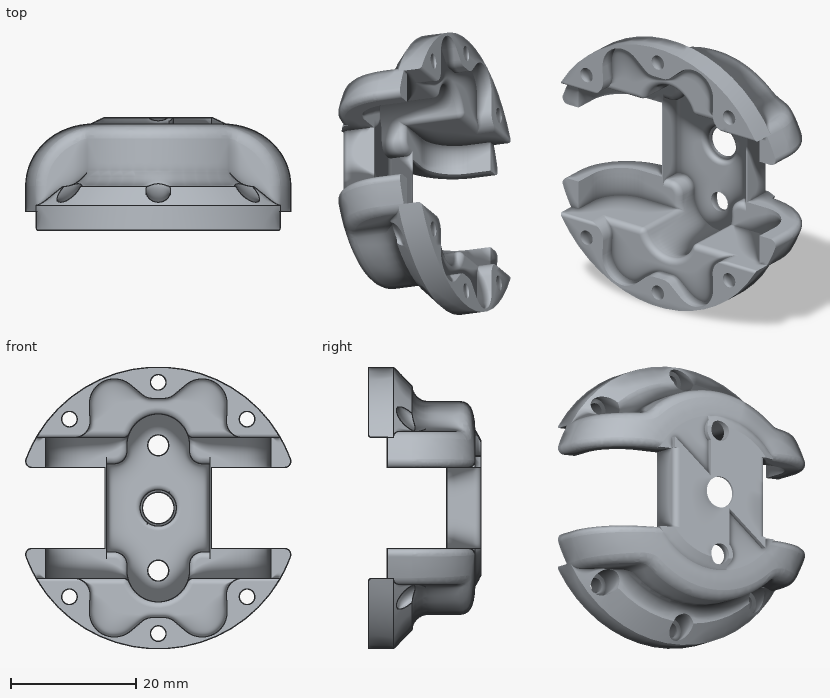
import cadquery as cq
import math


outer_radius = 22.5
total_depth = 18.0

slot_half_height = 6.45
flange_start = 11.25
wing_top = 12.2
wing_front = 3.0
shell_depth = 17.0
dome_radius = 10.0
bump_radius = 17.0
shell_edge_fillet = 2.0
wing_blend = 2.5
slot_edge_fillet = 1.0

flange_depth = 7.0
flange_chamfer = 3.0
flange_blend = 2.5
flange_edge_fillet = 0.5

bridge_half_width = 8.5
bridge_edge_fillet = 0.9
pad_angle = 30.0
pad_base_radius = 12.5
rib_half_width = 1.75
notch_start = 2.5
notch_top = 8.2
screw_boss_radius = 2.4

cavity_half_width = 18.0
cavity_corner = 5.5
cavity_depth = 12.5
recess_depth = 16.5
recess_radius = 5.0
recess_half_width = 8.23
recess_half_height = 7.05
recess_neck_radius = 2.0
recess_floor_fillet = 0.5
pocket_depth = 2.5
recess_rim_fillet = 1.0
lobe_radius = 4.0
lobe_center = (7.0, 16.6)
middle_boss_center = (0.95, 20.0)
side_boss_center = (13.4, 13.75)
hole_boss_radius = 2.5

flange_hole_circle = 20.05
flange_hole_radius = 1.22
flange_hole_angles = (45.0, 90.0, 135.0)
screw_head_radius = 1.97
screw_head_seat = 3.0
bridge_hole_radius = 1.65
bridge_hole_offset = 10.0
center_hole_radius = 2.5
center_bore_radius = 2.9
center_bore_depth = 0.35
center_bore_fillet = 0.75

tolerance = 0.01
big = 3 * outer_radius


def box(x_range, y_range, z_range):
    """Block between the given (low, high) limits."""
    size = [high - low for low, high in (x_range, y_range, z_range)]
    corner = (x_range[0], y_range[0], z_range[0])
    return cq.Workplane("XY").box(*size, centered=False).translate(corner)


def cylinder(radius, center, y_start, y_end):
    """Cylinder along Y, centred at (x, z)."""
    tool = cq.Workplane("XZ").center(*center).circle(radius).extrude(-(y_end - y_start))
    return tool.translate((0, y_start, 0))


def extrude_y(outline, y_start, y_end):
    """Push a closed XZ outline from y_start to y_end."""
    return outline.extrude(-(y_end - y_start)).translate((0, y_start, 0))


def revolve_y(profile):
    """Turn a closed XY profile about the Y axis."""
    return profile.revolve(360, (0, 0, 0), (0, 1, 0))


def crossing_tangent(start, start_radius, end, end_radius, side):
    """Ends of the line that touches two circles on opposite sides of it."""
    across, up = end[0] - start[0], end[1] - start[1]
    spread = math.acos((start_radius + end_radius) / math.hypot(across, up))
    angle = math.atan2(up, across) + side * spread
    cosine, sine = math.cos(angle), math.sin(angle)
    first = (start[0] + start_radius * cosine, start[1] + start_radius * sine)
    second = (end[0] - end_radius * cosine, end[1] - end_radius * sine)
    return first, second


def on_circle(center, radius, degrees):
    """Point on a circle at an angle from the first axis."""
    angle = math.radians(degrees)
    return center[0] + radius * math.cos(angle), center[1] + radius * math.sin(angle)


def fillet_edges(part, radius, test):
    """Round every edge of the part that passes the test."""
    chosen = [edge for edge in part.edges().vals() if test(edge)]
    return part.newObject(chosen).fillet(radius)


def make_shell():
    """Domed shell half: bulge and wings, rounded on all outer edges."""
    flat_radius = outer_radius - dome_radius
    rim_y = shell_depth - dome_radius
    dome_middle = on_circle((flat_radius, rim_y), dome_radius, 45)
    dome = revolve_y(
        cq.Workplane("XY")
        .moveTo(0, wing_front)
        .lineTo(outer_radius, wing_front)
        .lineTo(outer_radius, rim_y)
        .threePointArc(dome_middle, (flat_radius, shell_depth))
        .lineTo(0, shell_depth)
        .close()
    )
    blend_z = wing_top + wing_blend
    blend_x = math.sqrt((bump_radius + wing_blend) ** 2 - blend_z ** 2)
    touch = bump_radius / (bump_radius + wing_blend)
    blend_angle = math.degrees(math.atan2(blend_z, blend_x))
    blend_middle = on_circle((blend_x, blend_z), wing_blend, (270 + 180 + blend_angle) / 2)
    outline = (
        cq.Workplane("XZ")
        .moveTo(-big, slot_half_height)
        .lineTo(big, slot_half_height)
        .lineTo(big, wing_top)
        .lineTo(blend_x, wing_top)
        .threePointArc(blend_middle, (blend_x * touch, blend_z * touch))
        .threePointArc((0, bump_radius), (-blend_x * touch, blend_z * touch))
        .threePointArc((-blend_middle[0], blend_middle[1]), (-blend_x, wing_top))
        .lineTo(-big, wing_top)
        .close()
    )
    shell = dome.intersect(extrude_y(outline, wing_front, shell_depth))

    def is_outer_edge(edge):
        limits = edge.BoundingBox()
        along_y = limits.ymax - limits.ymin > 0 and limits.xmax - limits.xmin < tolerance
        on_front = limits.ymax < wing_front + tolerance
        on_outline = limits.zmin > wing_top - tolerance
        on_corner = edge.Center().y < rim_y and abs(edge.Center().x) > flat_radius + wing_blend
        return on_outline and not on_front and (on_corner or not along_y)

    def is_slot_edge(edge):
        limits = edge.BoundingBox()
        return limits.zmax < slot_half_height + tolerance and limits.ymax > wing_front + tolerance

    shell = fillet_edges(shell, shell_edge_fillet, is_outer_edge)
    return fillet_edges(shell, slot_edge_fillet, is_slot_edge)


def make_flange():
    """Half disc with a chamfered rim and a rounded run-up to the bulge."""
    blend_center = (bump_radius + flange_blend, flange_depth + flange_blend)
    disc = revolve_y(
        cq.Workplane("XY")
        .lineTo(outer_radius, 0)
        .lineTo(outer_radius, flange_depth - flange_chamfer)
        .lineTo(outer_radius - flange_chamfer, flange_depth)
        .threePointArc(
            on_circle(blend_center, flange_blend, 225),
            (bump_radius, flange_depth + flange_blend),
        )
        .lineTo(0, flange_depth + flange_blend)
        .close()
    )
    return disc.intersect(box((-big, big), (-big, big), (flange_start, big)))


def make_pad():
    """Half of the raised pad with conical sides on the shell back."""
    pad_height = total_depth - shell_depth
    top_radius = pad_base_radius - pad_height / math.tan(math.radians(pad_angle))
    pad = revolve_y(
        cq.Workplane("XY")
        .moveTo(0, cavity_depth)
        .lineTo(pad_base_radius, cavity_depth)
        .lineTo(pad_base_radius, shell_depth)
        .lineTo(top_radius, total_depth)
        .lineTo(0, total_depth)
        .close()
    )
    return pad.intersect(box((-big, big), (-big, big), (slot_half_height, big)))


def make_notch():
    """Notch in the raised back, open to one side, leaving a rib and a screw boss."""
    outline = (
        cq.Workplane("XZ")
        .moveTo(rib_half_width, notch_start)
        .lineTo(bridge_half_width, notch_top)
        .lineTo(bridge_half_width, slot_half_height)
        .lineTo(big, slot_half_height)
        .lineTo(big, big)
        .lineTo(rib_half_width, big)
        .close()
    )
    boss = cylinder(screw_boss_radius, (0, bridge_hole_offset), shell_depth, total_depth)
    return extrude_y(outline, shell_depth, total_depth).cut(boss)


def make_bridge_half():
    """Half of the bar that joins the shell halves, longer on the side of the notch."""
    bar = box(
        (-bridge_half_width, bridge_half_width),
        (cavity_depth, total_depth),
        (0, slot_half_height),
    )
    beside_notch = box(
        (0, bridge_half_width),
        (cavity_depth, total_depth),
        (slot_half_height, notch_top),
    )
    bar = bar.edges("|Z and >Y").fillet(bridge_edge_fillet)
    return bar.union(beside_notch)


def make_pocket():
    """Two-lobed pocket that leaves material around the flange holes."""
    lobe_x, lobe_z = lobe_center
    middle_x, middle_z = middle_boss_center
    side_x, side_z = side_boss_center
    rim_start, lobe_start = crossing_tangent(
        middle_boss_center, hole_boss_radius, lobe_center, lobe_radius, -1
    )
    lobe_end, side_start = crossing_tangent(
        lobe_center, lobe_radius, side_boss_center, hole_boss_radius, 1
    )
    middle_arc = on_circle(middle_boss_center, hole_boss_radius, 290)
    lobe_arc = on_circle(lobe_center, lobe_radius, 60)
    side_arc = on_circle(side_boss_center, hole_boss_radius, 225)
    half = (
        cq.Workplane("XZ")
        .moveTo(0, 0)
        .lineTo(0, middle_z - hole_boss_radius)
        .lineTo(middle_x, middle_z - hole_boss_radius)
        .threePointArc(middle_arc, rim_start)
        .lineTo(*lobe_start)
        .threePointArc(lobe_arc, lobe_end)
        .lineTo(*side_start)
        .threePointArc(side_arc, (side_x, side_z - hole_boss_radius))
        .lineTo(side_x, 0)
        .close()
    )
    pocket = extrude_y(half, 0, pocket_depth)
    return pocket.union(pocket.mirror("YZ"))


def make_cavity():
    """Main hollow: straight along Z, with rounded rear corners."""
    corner_x = cavity_half_width - cavity_corner
    corner_y = cavity_depth - cavity_corner
    right_arc = on_circle((corner_x, corner_y), cavity_corner, 45)
    profile = (
        cq.Workplane("XY")
        .moveTo(-cavity_half_width, 0)
        .lineTo(cavity_half_width, 0)
        .lineTo(cavity_half_width, corner_y)
        .threePointArc(right_arc, (corner_x, cavity_depth))
        .lineTo(-corner_x, cavity_depth)
        .threePointArc((-right_arc[0], right_arc[1]), (-cavity_half_width, corner_y))
        .close()
    )
    return profile.extrude(flange_start)


def make_recess():
    """Deeper middle recess: a wide part between the slots and a round-ended neck."""
    neck_x = recess_radius + recess_neck_radius
    neck_z = recess_half_height + recess_neck_radius
    neck_arc = on_circle((neck_x, neck_z), recess_neck_radius, 225)
    round_z = bridge_hole_offset
    outline = (
        cq.Workplane("XZ")
        .moveTo(-recess_half_width, 0)
        .lineTo(recess_half_width, 0)
        .lineTo(recess_half_width, recess_half_height)
        .lineTo(neck_x, recess_half_height)
        .threePointArc(neck_arc, (recess_radius, neck_z))
        .lineTo(recess_radius, round_z)
        .threePointArc((0, round_z + recess_radius), (-recess_radius, round_z))
        .lineTo(-recess_radius, neck_z)
        .threePointArc((-neck_arc[0], neck_arc[1]), (-neck_x, recess_half_height))
        .lineTo(-recess_half_width, recess_half_height)
        .close()
    )
    return extrude_y(outline, 0, recess_depth)


def round_recess_rim(half):
    """Round the recess rim at the cavity ceiling, cavity wall and pocket floor."""
    def is_rim_edge(edge):
        limits = edge.BoundingBox()
        at_wall = abs(limits.zmin - flange_start) < tolerance
        flat_in_y = limits.ymax - limits.ymin < tolerance
        within_recess = max(-limits.xmin, limits.xmax) < recess_half_width + tolerance
        on_pocket = (
            at_wall
            and flat_in_y
            and abs(limits.ymin - pocket_depth) < tolerance
            and (limits.zmax < flange_start + tolerance or within_recess)
            and limits.xmax - limits.xmin > hole_boss_radius + tolerance
        )
        on_wall = at_wall and abs(limits.ymax - limits.ymin - cavity_depth + pocket_depth) < tolerance
        on_ceiling = (
            flat_in_y
            and abs(limits.ymin - cavity_depth) < tolerance
            and limits.zmin > recess_half_height - tolerance
            and limits.zmax < flange_start + tolerance
            and within_recess
        )
        return on_pocket or on_wall or on_ceiling

    return fillet_edges(half, recess_rim_fillet, is_rim_edge)


def round_flange_edge(half):
    """Round the straight edge of the mating face beside the cavity."""
    def is_flange_edge(edge):
        limits = edge.BoundingBox()
        return limits.ymax < tolerance and limits.zmax < flange_start + tolerance

    return fillet_edges(half, flange_edge_fillet, is_flange_edge)


def round_recess_floor(half):
    """Round the corners between the recess floor and its side walls."""
    def is_floor_corner(edge):
        limits = edge.BoundingBox()
        on_floor = limits.ymin > recess_depth - tolerance and limits.ymax < recess_depth + tolerance
        on_side = abs(abs(edge.Center().x) - recess_half_width) < tolerance
        return on_floor and on_side

    return fillet_edges(half, recess_floor_fillet, is_floor_corner)


def drill_flange(half):
    """Screw holes through the flange with head clearance on the back."""
    for angle in flange_hole_angles:
        place = on_circle((0, 0), flange_hole_circle, angle)
        half = half.cut(cylinder(flange_hole_radius, place, 0, flange_depth))
        half = half.cut(cylinder(screw_head_radius, place, screw_head_seat, flange_depth + flange_blend))
    return half


def make_center_hole():
    """Stepped middle hole whose wider front bore has a rounded mouth."""
    mouth_radius = center_bore_radius + center_bore_fillet
    mouth_center = (mouth_radius, recess_depth + center_bore_fillet)
    ledge_y = mouth_center[1] + center_bore_depth
    return revolve_y(
        cq.Workplane("XY")
        .moveTo(0, recess_depth)
        .lineTo(mouth_radius, recess_depth)
        .threePointArc(
            on_circle(mouth_center, center_bore_fillet, 225),
            (center_bore_radius, mouth_center[1]),
        )
        .lineTo(center_bore_radius, ledge_y)
        .lineTo(center_hole_radius, ledge_y)
        .lineTo(center_hole_radius, total_depth)
        .lineTo(0, total_depth)
        .close()
    )


half = make_shell().union(make_flange()).union(make_pad()).union(make_bridge_half())
half = half.cut(make_notch()).cut(make_cavity())
half = round_flange_edge(half)
half = half.cut(make_pocket()).cut(make_recess())
half = round_recess_rim(half)
half = round_recess_floor(half)
half = drill_flange(half)
half = half.cut(cylinder(bridge_hole_radius, (0, bridge_hole_offset), recess_depth, total_depth))

other_half = half.rotate((0, 0, 0), (0, 1, 0), 180)
result = half.union(other_half).cut(make_center_hole())